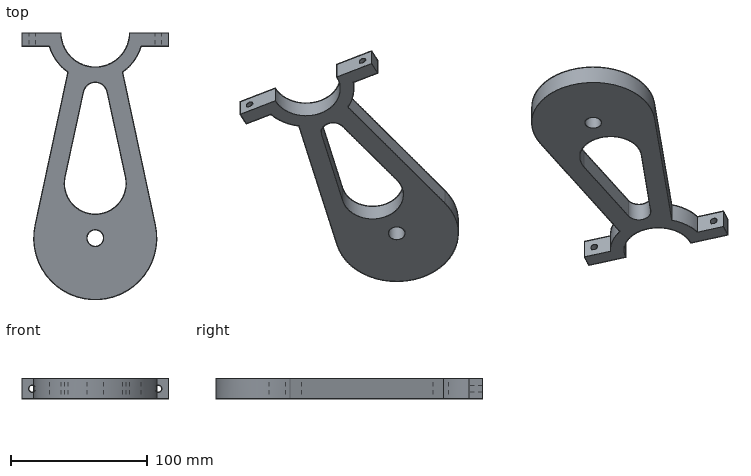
import cadquery as cq
import math

thickness = 15.0

saddle_inner_radius = 25.0
saddle_outer_radius = 35.0

ear_depth = 10.0
ear_length = 20.0
ear_hole_diameter = 5.0
ear_hole_spacing = 92.0

pivot_distance = 150.0
pivot_end_radius = 45.0
pivot_hole_diameter = 12.0
arm_neck_half_width = 20.0

window_small_radius = 8.75
window_small_distance = 45.0
window_large_radius = 22.5
window_large_distance = 110.0

arm_neck_y = -math.sqrt(saddle_outer_radius**2 - arm_neck_half_width**2)
ear_root_x = math.sqrt(saddle_outer_radius**2 - ear_depth**2)
ear_span = 2 * (ear_root_x + ear_length)


def extrude_plate(sketch):
    """Extrude a closed XY outline to the full plate thickness."""
    return sketch.close().extrude(thickness)


def make_arm():
    """Tapered arm whose straight sides run tangent into the round pivot end."""
    neck_height = pivot_distance + arm_neck_y
    neck_reach = math.hypot(arm_neck_half_width, neck_height)
    neck_angle = math.atan2(neck_height, arm_neck_half_width)
    tangent_angle = neck_angle - math.acos(pivot_end_radius / neck_reach)
    tangent_x = pivot_end_radius * math.cos(tangent_angle)
    tangent_y = -pivot_distance + pivot_end_radius * math.sin(tangent_angle)
    return extrude_plate(
        cq.Workplane("XY")
        .moveTo(0, 0)
        .lineTo(arm_neck_half_width, arm_neck_y)
        .lineTo(tangent_x, tangent_y)
        .threePointArc((0, -pivot_distance - pivot_end_radius), (-tangent_x, tangent_y))
        .lineTo(-arm_neck_half_width, arm_neck_y)
    )


def make_saddle():
    """Solid half disc that backs the saddle."""
    return extrude_plate(
        cq.Workplane("XY")
        .moveTo(-saddle_outer_radius, 0)
        .threePointArc((0, -saddle_outer_radius), (saddle_outer_radius, 0))
    )


def make_ears():
    """Bar across the saddle whose two ends form the clamping ears."""
    bar = cq.Workplane("XY").box(ear_span, ear_depth, thickness, centered=(True, False, False))
    return bar.translate((0, -ear_depth, 0))


def make_window():
    """Teardrop opening: two round ends joined by their common outer tangents."""
    centre_distance = window_large_distance - window_small_distance
    slope = math.asin((window_large_radius - window_small_radius) / centre_distance)
    small_x = window_small_radius * math.cos(slope)
    small_y = -window_small_distance + window_small_radius * math.sin(slope)
    large_x = window_large_radius * math.cos(slope)
    large_y = -window_large_distance + window_large_radius * math.sin(slope)
    return extrude_plate(
        cq.Workplane("XY")
        .moveTo(-small_x, small_y)
        .threePointArc((0, window_small_radius - window_small_distance), (small_x, small_y))
        .lineTo(large_x, large_y)
        .threePointArc((0, -window_large_distance - window_large_radius), (-large_x, large_y))
    )


def make_bore(diameter, y):
    """Vertical through cylinder on the centre line of the plate."""
    return cq.Workplane("XY").center(0, y).circle(diameter / 2).extrude(thickness)


def make_ear_holes():
    """Pair of holes through the ears along Y, at half the thickness."""
    half_spacing = ear_hole_spacing / 2
    return (
        cq.Workplane("XZ")
        .pushPoints([(side * half_spacing, thickness / 2) for side in (-1, 1)])
        .circle(ear_hole_diameter / 2)
        .extrude(ear_depth)
    )


body = make_arm().union(make_saddle()).union(make_ears())
result = (
    body.cut(make_bore(2 * saddle_inner_radius, 0))
    .cut(make_window())
    .cut(make_bore(pivot_hole_diameter, -pivot_distance))
    .cut(make_ear_holes())
)